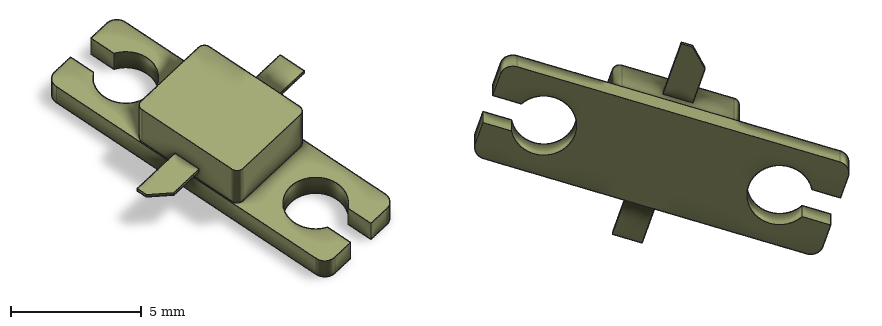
import cadquery as cq

FLANGE_LENGTH = 14.0
FLANGE_WIDTH = 4.1
FLANGE_HEIGHT = 1.0
FLANGE_CORNER_RADIUS = 0.5

HOLE_DIAMETER = 2.5
HOLE_OFFSET = 4.75
SLOT_WIDTH = 1.2

TOTAL_HEIGHT = 3.0
BODY_LENGTH = 5.1
BODY_WIDTH = 4.0
BODY_HEIGHT = TOTAL_HEIGHT - FLANGE_HEIGHT
BODY_CORNER_RADIUS = 0.3

LEAD_SPAN = 8.5
LEAD_WIDTH = 1.2
LEAD_THICKNESS = 0.15
LEAD_BOTTOM = 1.5
LEAD_CUT = 0.74


def rounded_block(length, width, height, corner_radius, bottom):
    """Upright block with rounded vertical edges, centred in X and Y."""
    block = cq.Workplane("XY").workplane(offset=bottom).rect(length, width).extrude(height)
    return block.edges("|Z").fillet(corner_radius)


def open_screw_hole(side):
    """Cutter for a hole and its slot out to the flange end; side is -1 or +1 along X."""
    slot_length = FLANGE_LENGTH / 2 - HOLE_OFFSET
    slot_middle = side * (HOLE_OFFSET + slot_length / 2)
    base = cq.Workplane("XY")
    hole = base.center(side * HOLE_OFFSET, 0).circle(HOLE_DIAMETER / 2).extrude(FLANGE_HEIGHT)
    slot = base.center(slot_middle, 0).rect(slot_length, SLOT_WIDTH).extrude(FLANGE_HEIGHT)
    return hole.union(slot)


def lead_strip():
    """Both leads as one strip, with the +X corner of the -Y end cut off."""
    base = cq.Workplane("XY").workplane(offset=LEAD_BOTTOM)
    strip = base.rect(LEAD_WIDTH, LEAD_SPAN).extrude(LEAD_THICKNESS)
    return strip.edges("|Z").edges(">X and <Y").chamfer(LEAD_CUT)


flange = rounded_block(FLANGE_LENGTH, FLANGE_WIDTH, FLANGE_HEIGHT, FLANGE_CORNER_RADIUS, 0)
for side in (-1, 1):
    flange = flange.cut(open_screw_hole(side))

body = rounded_block(BODY_LENGTH, BODY_WIDTH, BODY_HEIGHT, BODY_CORNER_RADIUS, FLANGE_HEIGHT)

result = flange.union(body).union(lead_strip())